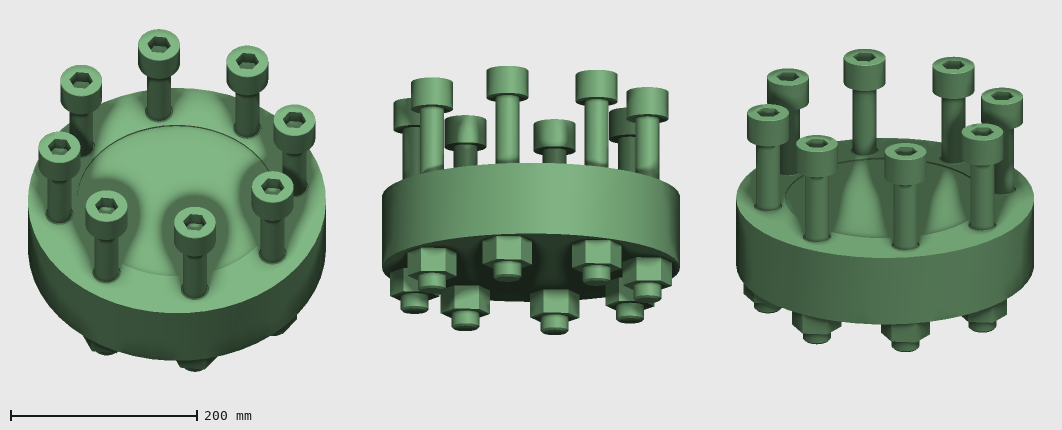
import cadquery as cq
import math

DISC_DIAMETER = 320.0
DISC_HEIGHT = 78.0
RECESS_DIAMETER = 215.0
RECESS_DEPTH = 2.0

BOLT_COUNT = 8
BOLT_CIRCLE_DIAMETER = 255.0

BOLT_LENGTH = 200.0
HEAD_DIAMETER = 45.0
HEAD_HEIGHT = 30.0
HEAD_CHAMFER = 0.5
SOCKET_ACROSS_FLATS = 22.0
SOCKET_DEPTH = 15.0
SHANK_DIAMETER = 25.71
THREAD_DIAMETER = 30.0
THREAD_CHAMFER = (THREAD_DIAMETER - SHANK_DIAMETER) / 2

NUT_ACROSS_FLATS = 46.0
NUT_HEIGHT = 25.6
TIP_PROJECTION = 16.4

NUT_BOTTOM = TIP_PROJECTION
DISC_BOTTOM = NUT_BOTTOM + NUT_HEIGHT
DISC_TOP = DISC_BOTTOM + DISC_HEIGHT
HEAD_BOTTOM = BOLT_LENGTH


def cylinder(diameter, height, bottom):
    """Upright cylinder on the Z axis."""
    return cq.Workplane("XY").workplane(offset=bottom).circle(diameter / 2).extrude(height)


def hex_prism(across_flats, height, bottom):
    """Upright hexagonal prism on the Z axis with two corners on the Y axis."""
    across_corners = across_flats / math.cos(math.radians(30))
    prism = cq.Workplane("XY").workplane(offset=bottom).polygon(6, across_corners).extrude(height)
    return prism.rotate((0, 0, 0), (0, 0, 1), 90)


def make_disc():
    disc = cylinder(DISC_DIAMETER, DISC_HEIGHT, DISC_BOTTOM)
    recess = cylinder(RECESS_DIAMETER, RECESS_DEPTH, DISC_TOP - RECESS_DEPTH)
    return disc.cut(recess)


def make_bolt_hole():
    """Top of a bolt hole, down to where the thread fills it."""
    return cylinder(THREAD_DIAMETER, THREAD_CHAMFER, DISC_TOP - THREAD_CHAMFER)


def make_bolt():
    """Bolt with a narrow shank; the chamfered thread starts level with the top of the disc."""
    thread = cylinder(THREAD_DIAMETER, DISC_TOP, 0).faces("<Z or >Z").chamfer(THREAD_CHAMFER)
    shank = cylinder(SHANK_DIAMETER, HEAD_BOTTOM - DISC_TOP, DISC_TOP)
    head = cylinder(HEAD_DIAMETER, HEAD_HEIGHT, HEAD_BOTTOM).faces(">Z").chamfer(HEAD_CHAMFER)
    socket_bottom = HEAD_BOTTOM + HEAD_HEIGHT - SOCKET_DEPTH
    socket = hex_prism(SOCKET_ACROSS_FLATS, SOCKET_DEPTH, socket_bottom)
    return thread.union(shank).union(head.cut(socket))


def make_fastener():
    nut = hex_prism(NUT_ACROSS_FLATS, NUT_HEIGHT, NUT_BOTTOM)
    return make_bolt().union(nut)


def make_assembly():
    """Disc with the fasteners on the bolt circle, all hexagons facing the same way."""
    assembly = make_disc()
    bolt_hole = make_bolt_hole()
    fastener = make_fastener()
    for index in range(BOLT_COUNT):
        angle = 2 * math.pi * index / BOLT_COUNT
        x = BOLT_CIRCLE_DIAMETER / 2 * math.cos(angle)
        y = BOLT_CIRCLE_DIAMETER / 2 * math.sin(angle)
        position = (x, y, 0)
        assembly = assembly.cut(bolt_hole.translate(position))
        assembly = assembly.union(fastener.translate(position))
    return assembly


result = make_assembly()